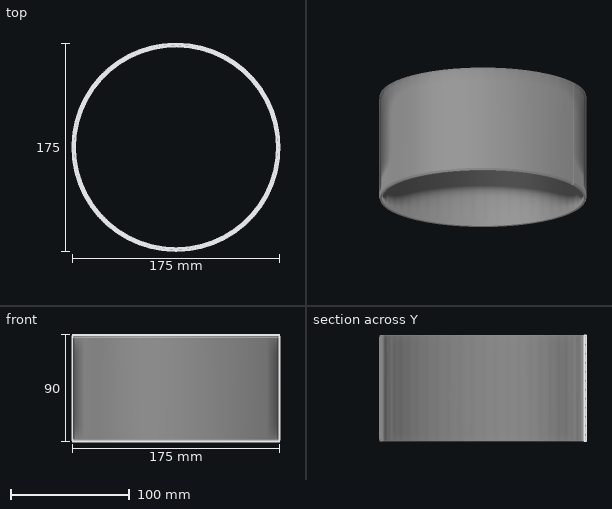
import cadquery as cq

outer_diameter = 175.0
wall = 2.5
height = 90.0
outer_chamfer_height = 1.8
outer_chamfer_depth = 0.5
inner_chamfer = 0.44
slit_width = 1.4

outer_radius = outer_diameter / 2
inner_radius = outer_radius - wall


def chamfered_tube():
    """Revolve the wall section, chamfered at all four corners, about Z."""
    half_height = height / 2
    chamfer_start = half_height - outer_chamfer_height
    inner_start = half_height - inner_chamfer
    rim_outer = outer_radius - outer_chamfer_depth
    rim_inner = inner_radius + inner_chamfer
    section = (
        cq.Workplane("XZ")
        .moveTo(outer_radius, -chamfer_start)
        .lineTo(outer_radius, chamfer_start)
        .lineTo(rim_outer, half_height)
        .lineTo(rim_inner, half_height)
        .lineTo(inner_radius, inner_start)
        .lineTo(inner_radius, -inner_start)
        .lineTo(rim_inner, -half_height)
        .lineTo(rim_outer, -half_height)
        .close()
    )
    return section.revolve(360, (0, 0, 0), (0, 1, 0))


def slit():
    """Full-height cutter through the wall on the -X side, with one face on the XZ plane."""
    cutter_length = 4 * wall
    cutter = cq.Workplane("XY").box(cutter_length, slit_width, 2 * height)
    return cutter.translate((-outer_radius, slit_width / 2, 0))


result = chamfered_tube().cut(slit())